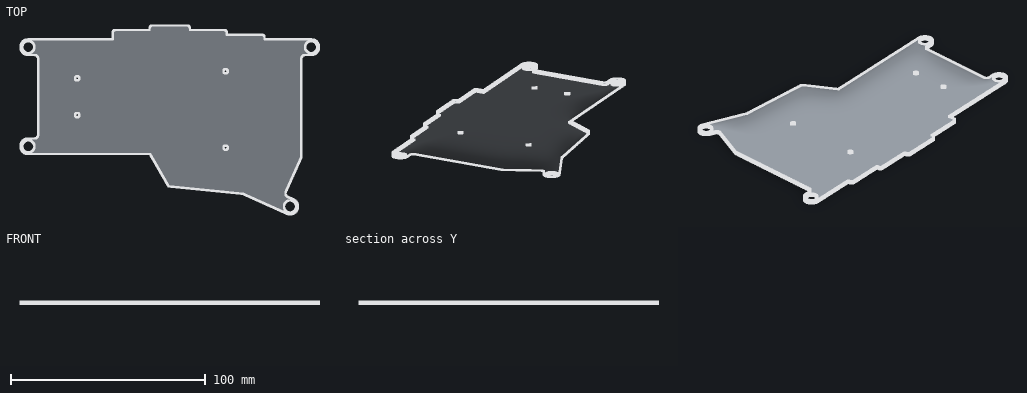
import cadquery as cq
import math

length = 153.2
width = 97.0
thickness = 1.35

lug_hole_diameter = 6.1
lug_wall = 1.0
lug_radius = lug_hole_diameter / 2 + lug_wall
side_lug_x = length / 2 - lug_radius
rear_y = 41.4
rear_lug_y = rear_y - lug_radius
left_lug_spacing = 50.9
front_left_lug_y = rear_lug_y - left_lug_spacing
corner_lug_x = 61.8
corner_lug_y = -width / 2 + lug_radius
lug_centers = [
    (-side_lug_x, rear_lug_y),
    (-side_lug_x, front_left_lug_y),
    (side_lug_x, rear_lug_y),
    (corner_lug_x, corner_lug_y),
]

side_x = 67.6
front_left_y = front_left_lug_y - lug_radius
side_bend_y = -19.2
front_step = (-10.1, front_left_y)
front_corner = (-0.6, -34.2)
front_bend = (37.5, -38.0)

step_count = 3
step_rise = (width / 2 - rear_y) / step_count
low_step_y = rear_y + step_rise
high_step_y = rear_y + 2 * step_rise
top_y = width / 2
middle_tab_x = 10.4
high_step_x = 29.3
low_step_right_x = 48.7

tab_radius = 1.5
high_step_radius = 1.2
lug_fillet_radius = 1.8

screw_hole_diameter = 2.1
screw_holes = [(-47.5, 21.3), (-47.5, 2.5), (28.7, 25.0), (28.7, -14.3)]

bend_to_lug_x = corner_lug_x - front_bend[0]
bend_to_lug_y = corner_lug_y - front_bend[1]
bend_to_lug = math.hypot(bend_to_lug_x, bend_to_lug_y)
arm_angle = math.atan2(bend_to_lug_y, bend_to_lug_x) - math.asin(lug_radius / bend_to_lug)
along_x, along_y = math.cos(arm_angle), math.sin(arm_angle)
across_x, across_y = -along_y, along_x
arm_front_tangent = (corner_lug_x - lug_radius * across_x, corner_lug_y - lug_radius * across_y)
arm_inner_tangent = (corner_lug_x + lug_radius * across_x, corner_lug_y + lug_radius * across_y)
arm_reach = (arm_inner_tangent[0] - side_x) * along_x + (arm_inner_tangent[1] - side_bend_y) * along_y
arm_inner_corner = (
    arm_inner_tangent[0] - arm_reach * along_x,
    arm_inner_tangent[1] - arm_reach * along_y,
)

high_step_corners = [
    (-high_step_x, high_step_y),
    (high_step_x, high_step_y),
]
tab_corners = [
    (-middle_tab_x, top_y),
    (middle_tab_x, top_y),
    (low_step_right_x, low_step_y),
]
lug_corners = [
    (-side_x, rear_lug_y - lug_radius),
    (-side_x, front_left_lug_y + lug_radius),
    (side_x, rear_lug_y - lug_radius),
    arm_inner_corner,
]


def plate_blank():
    """Sharp-cornered plate whose arms end at the lug centers."""
    outline = [
        (-side_lug_x, rear_y),
        (-high_step_x, rear_y),
        (-high_step_x, high_step_y),
        (-middle_tab_x, high_step_y),
        (-middle_tab_x, top_y),
        (middle_tab_x, top_y),
        (middle_tab_x, high_step_y),
        (high_step_x, high_step_y),
        (high_step_x, low_step_y),
        (low_step_right_x, low_step_y),
        (low_step_right_x, rear_y),
        (side_lug_x, rear_y),
        (side_lug_x, rear_lug_y - lug_radius),
        (side_x, rear_lug_y - lug_radius),
        (side_x, side_bend_y),
        arm_inner_corner,
        arm_inner_tangent,
        arm_front_tangent,
        front_bend,
        front_corner,
        front_step,
        (-side_lug_x, front_left_y),
        (-side_lug_x, front_left_lug_y + lug_radius),
        (-side_x, front_left_lug_y + lug_radius),
        (-side_x, rear_lug_y - lug_radius),
        (-side_lug_x, rear_lug_y - lug_radius),
    ]
    return cq.Workplane("XY").polyline(outline).close().extrude(thickness)


def round_corners(body, corners, radius):
    """Round the upright edges standing at the given corners."""
    for x, y in corners:
        nearest_edge = cq.selectors.NearestToPointSelector((x, y, thickness / 2))
        body = body.edges("|Z").edges(nearest_edge).fillet(radius)
    return body


def discs(centers, diameter):
    """Discs as thick as the plate."""
    return cq.Workplane("XY").pushPoints(centers).circle(diameter / 2).extrude(thickness)


plate = plate_blank()
plate = round_corners(plate, high_step_corners, high_step_radius)
plate = round_corners(plate, tab_corners, tab_radius)
plate = round_corners(plate, lug_corners, lug_fillet_radius)
plate = plate.union(discs(lug_centers, 2 * lug_radius))
plate = plate.cut(discs(lug_centers, lug_hole_diameter))
result = plate.cut(discs(screw_holes, screw_hole_diameter))